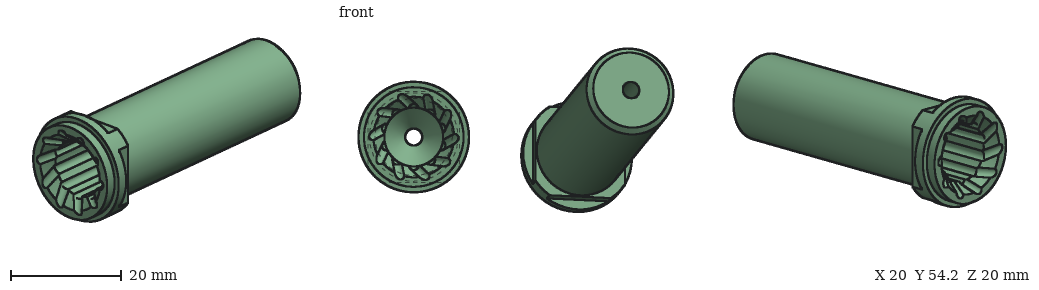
import cadquery as cq
import math

TOTAL_LENGTH = 54.2
LIP_DIAMETER = 18.0
LIP_LENGTH = 2.0
FLANGE_DIAMETER = 20.0
FLANGE_LENGTH = 2.0
SQUARE_ACROSS_FLATS = 16.5
SQUARE_LENGTH = 2.5
BARREL_DIAMETER = 16.0
END_CHAMFER = 1.05

MOUTH_DIAMETER = 14.6
BORE_DIAMETER = 10.6
BORE_LENGTH = 21.7
FUNNEL_HALF_ANGLE = 45
OUTLET_DIAMETER = 3.05
MOUTH_DEPTH = (MOUTH_DIAMETER - BORE_DIAMETER) / 2
FUNNEL_LENGTH = (BORE_DIAMETER - OUTLET_DIAMETER) / 2 / math.tan(math.radians(FUNNEL_HALF_ANGLE))

GROOVE_COUNT = 10
GROOVE_RADIUS = 0.9
GROOVE_CENTRE_RADIUS = 5.05
GROOVE_START_ANGLE = 18
LEAD_IN_CENTRE_RADIUS = 6.8
LEAD_IN_TWIST = 14


def cylinder(diameter, start, length):
    """Cylinder about the Y axis, beginning at y = start."""
    return cq.Workplane("XZ", origin=(0, start, 0)).circle(diameter / 2).extrude(-length)


def cone(start_diameter, end_diameter, start, length):
    """Truncated cone about the Y axis, beginning at y = start."""
    return cq.Workplane(
        cq.Solid.makeCone(
            start_diameter / 2, end_diameter / 2, length, cq.Vector(0, start, 0), cq.Vector(0, 1, 0)
        )
    )


def polar_point(radius, angle, y):
    """Point at a radius and angle (degrees from +X towards +Z) around the Y axis."""
    turn = math.radians(angle)
    return cq.Vector(radius * math.cos(turn), y, radius * math.sin(turn))


def make_body():
    flange_start = LIP_LENGTH
    square_start = flange_start + FLANGE_LENGTH
    barrel_start = square_start + SQUARE_LENGTH

    lip = cylinder(LIP_DIAMETER, 0, LIP_LENGTH)
    flange = cylinder(FLANGE_DIAMETER, flange_start, FLANGE_LENGTH)
    square = (
        cq.Workplane("XZ", origin=(0, square_start, 0))
        .rect(SQUARE_ACROSS_FLATS, SQUARE_ACROSS_FLATS)
        .extrude(-SQUARE_LENGTH)
        .intersect(cylinder(FLANGE_DIAMETER, square_start, SQUARE_LENGTH))
    )
    barrel = (
        cylinder(BARREL_DIAMETER, barrel_start, TOTAL_LENGTH - barrel_start)
        .faces(">Y")
        .chamfer(END_CHAMFER)
    )
    return lip.union(flange).union(square).union(barrel)


def make_cavity():
    mouth = cone(MOUTH_DIAMETER, BORE_DIAMETER, 0, MOUTH_DEPTH)
    bore = cylinder(BORE_DIAMETER, MOUTH_DEPTH, BORE_LENGTH - MOUTH_DEPTH)
    funnel = cone(BORE_DIAMETER, OUTLET_DIAMETER, BORE_LENGTH, FUNNEL_LENGTH)
    outlet = cylinder(OUTLET_DIAMETER, 0, TOTAL_LENGTH)
    return outlet.union(mouth).union(bore).union(funnel)


def rod(start, end):
    """Round rod of the groove radius between two points."""
    axis = end - start
    return cq.Workplane(cq.Solid.makeCylinder(GROOVE_RADIUS, axis.Length, start, axis))


def ball(centre):
    return cq.Workplane("XY", origin=centre.toTuple()).sphere(GROOVE_RADIUS)


def make_groove(angle):
    bend = polar_point(GROOVE_CENTRE_RADIUS, angle, MOUTH_DEPTH)
    inner_end = polar_point(GROOVE_CENTRE_RADIUS, angle, BORE_LENGTH - GROOVE_RADIUS)
    mouth_point = polar_point(LEAD_IN_CENTRE_RADIUS, angle + LEAD_IN_TWIST, 0)
    outside_point = mouth_point + (mouth_point - bend)
    return (
        rod(bend, inner_end)
        .union(ball(inner_end))
        .union(ball(bend))
        .union(rod(bend, outside_point))
    )


result = make_body().cut(make_cavity())
for index in range(GROOVE_COUNT):
    result = result.cut(make_groove(GROOVE_START_ANGLE + index * 360 / GROOVE_COUNT))